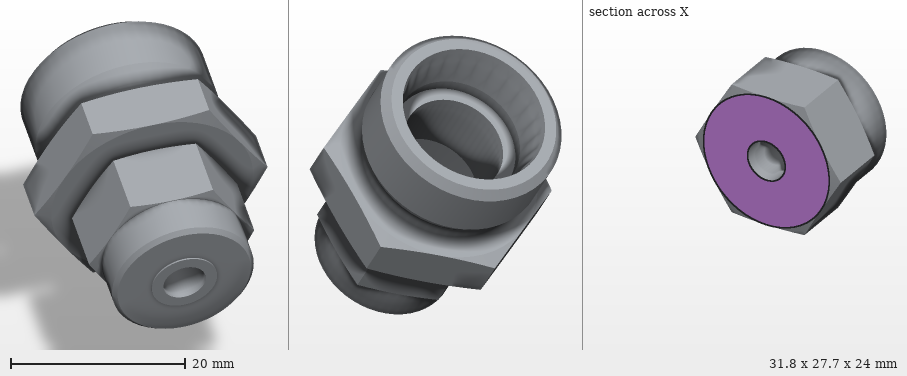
import cadquery as cq
import math

thread_end = 7.4
relief_start = 9.38
large_hex_start = 12.0
large_hex_end = 17.87
small_hex_start = 18.6
small_hex_end = 26.62
nose_end = 31.6
total_length = 31.8

thread_radius = 11.0
thread_chamfer = 1.0
relief_radius = 9.9
relief_fillet = 1.0
neck_radius = 6.0
nose_radius = 8.43
nose_chamfer = 0.5
tip_radius = 3.88

large_hex_flats = 24.0
small_hex_flats = 17.0
hex_chamfer_angle = 15.0

mouth_radius = 8.65
socket_radius = 7.5
socket_depth = 7.0
socket_cone_angle = 12.0
counterbore_radius = 6.0
counterbore_depth = 15.9
throat_radius = 2.5
throat_cone_angle = 60.0


def revolve_about_x(outline):
    """Turn a closed XY outline, where Y is the radius, around the X axis."""
    return outline.close().revolve(360, (0, 0, 0), (1, 0, 0))


def chamfered_hex(start, end, flats):
    """Hexagonal prism along X whose corners are turned off conically at both ends."""
    corner_radius = flats / math.sqrt(3)
    flat_radius = flats / 2
    chamfer_depth = (corner_radius - flat_radius) * math.tan(math.radians(hex_chamfer_angle))
    prism = (
        cq.Workplane("YZ", origin=(start, 0, 0))
        .polygon(6, 2 * corner_radius)
        .extrude(end - start)
    )
    envelope = revolve_about_x(
        cq.Workplane("XY")
        .moveTo(start, 0)
        .lineTo(start, flat_radius)
        .lineTo(start + chamfer_depth, corner_radius)
        .lineTo(end - chamfer_depth, corner_radius)
        .lineTo(end, flat_radius)
        .lineTo(end, 0)
    )
    return prism.intersect(envelope)


def turned_body():
    """Threaded end, filleted thread relief, neck, nose and tip as one turned profile."""
    fillet_start = large_hex_start - relief_fillet
    return revolve_about_x(
        cq.Workplane("XY")
        .moveTo(0, 0)
        .lineTo(0, thread_radius - thread_chamfer)
        .lineTo(thread_chamfer, thread_radius)
        .lineTo(thread_end, thread_radius)
        .lineTo(relief_start, relief_radius)
        .lineTo(fillet_start, relief_radius)
        .radiusArc((large_hex_start, relief_radius + relief_fillet), -relief_fillet)
        .lineTo(large_hex_end, relief_radius + relief_fillet)
        .lineTo(large_hex_end, neck_radius)
        .lineTo(small_hex_start, neck_radius)
        .lineTo(small_hex_end, nose_radius)
        .lineTo(nose_end - nose_chamfer, nose_radius)
        .lineTo(nose_end, nose_radius - nose_chamfer)
        .lineTo(nose_end, tip_radius)
        .lineTo(total_length, tip_radius)
        .lineTo(total_length, 0)
    )


def bore():
    """Tapered tube socket, counterbore and conical transition to the through hole."""
    mouth_cone_depth = (mouth_radius - socket_radius) / math.tan(math.radians(socket_cone_angle))
    throat_cone_depth = (counterbore_radius - throat_radius) / math.tan(math.radians(throat_cone_angle))
    return revolve_about_x(
        cq.Workplane("XY")
        .moveTo(0, 0)
        .lineTo(0, mouth_radius)
        .lineTo(mouth_cone_depth, socket_radius)
        .lineTo(socket_depth, socket_radius)
        .lineTo(socket_depth, counterbore_radius)
        .lineTo(counterbore_depth, counterbore_radius)
        .lineTo(counterbore_depth + throat_cone_depth, throat_radius)
        .lineTo(total_length, throat_radius)
        .lineTo(total_length, 0)
    )


large_hex = chamfered_hex(large_hex_start, large_hex_end, large_hex_flats)
small_hex = chamfered_hex(small_hex_start, small_hex_end, small_hex_flats)
result = turned_body().union(large_hex).union(small_hex).cut(bore())